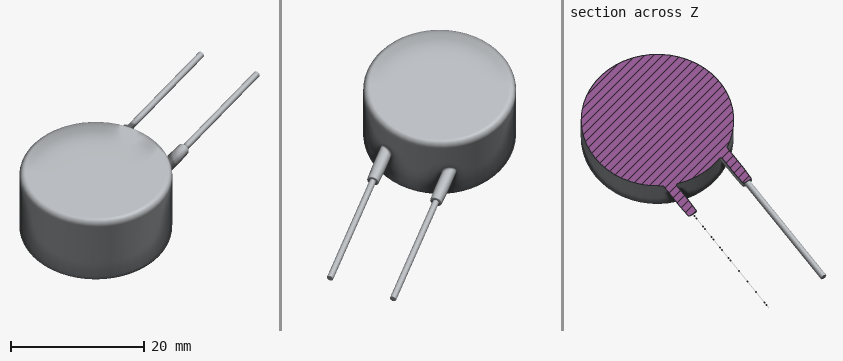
import cadquery as cq

body_diameter = 23.0
body_height = 12.2
body_edge_radius = 1.0

lead_spacing = 10.0
lead_height_difference = 1.0
wire_diameter = 1.0
wire_length = 20.0

sleeve_diameter = 2.0
sleeve_projection = 5.0
sleeve_taper_length = 2.2
sleeve_tip_diameter = 1.85
sleeve_tip_edge_radius = 0.15
sleeve_root_radius = 0.2

body_radius = body_diameter / 2
sleeve_radius = sleeve_diameter / 2
sleeve_tip_radius = sleeve_tip_diameter / 2
sleeve_end_y = body_radius + sleeve_projection
taper_start_y = sleeve_end_y - sleeve_taper_length
wire_end_y = sleeve_end_y + wire_length

sleeve_start_y = body_radius / 2


def make_body():
    """Solid disc with rounded top and bottom rims."""
    disc = cq.Workplane("XY").circle(body_radius).extrude(body_height)
    return disc.faces("<Z or >Z").edges().fillet(body_edge_radius)


def make_sleeve():
    """Sleeve along the Y axis: straight, then slightly tapered to a rounded tip."""
    sleeve = (
        cq.Workplane("XY")
        .moveTo(0, sleeve_start_y)
        .lineTo(sleeve_radius, sleeve_start_y)
        .lineTo(sleeve_radius, taper_start_y)
        .lineTo(sleeve_tip_radius, sleeve_end_y)
        .lineTo(0, sleeve_end_y)
        .close()
        .revolve(360, (0, 0, 0), (0, 1, 0))
    )
    return sleeve.faces(">Y").edges().fillet(sleeve_tip_edge_radius)


def make_wire():
    """Round wire along the Y axis, from inside the sleeve to its free end."""
    return (
        cq.Workplane("XZ", origin=(0, sleeve_start_y, 0))
        .circle(wire_diameter / 2)
        .extrude(sleeve_start_y - wire_end_y)
    )


def make_lead():
    return make_sleeve().union(make_wire())


def fillet_sleeve_roots(part):
    """Small fillets where the sleeves emerge from the side of the body."""
    root_zone = cq.selectors.BoxSelector(
        (-lead_spacing, sleeve_start_y, body_edge_radius),
        (lead_spacing, body_radius, body_height - body_edge_radius),
    )
    return part.edges(root_zone).fillet(sleeve_root_radius)


part = make_body()
for side in (-1, 1):
    lead_x = side * lead_spacing / 2
    lead_z = body_height / 2 + side * lead_height_difference / 2
    part = part.union(make_lead().translate((lead_x, 0, lead_z)))

result = fillet_sleeve_roots(part)